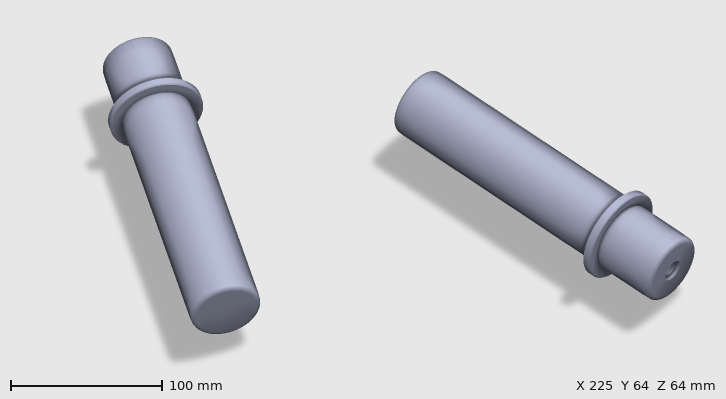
import cadquery as cq
import math

length = 225.0
body_radius = 24.0

lead_radius = 23.8
end_round = 3.2

head_lead_end = 10.0

collar_start = 45.0
collar_width = 6.0
collar_radius = 32.0
collar_chamfer = 0.7
undercut_width = 1.4
undercut_depth = 0.5
undercut_slope = 0.7
undercut_face_depth = 0.2
undercut_face_radius = 24.8
relief_straight = 1.8
relief_taper = 6.8
relief_radius = 23.8

tip_lead_length = 7.0

hole_radius = 5.2
counterbore_radius = 7.0
counterbore_depth = 2.5
mouth_chamfer = 0.5
hole_depth = 20.2
drill_point_angle = 120.0

undercut_radius = body_radius - undercut_depth
collar_end = collar_start + collar_width
face_radius = lead_radius - end_round
round_inset = end_round * (1 - math.sqrt(0.5))
relief_end = collar_end + relief_straight


def make_pin():
    """Revolve the half profile (X, radius) about the pin axis."""
    round_middle_radius = lead_radius - round_inset
    profile = (
        cq.Workplane("XY")
        .lineTo(0, face_radius)
        .threePointArc((round_inset, round_middle_radius), (end_round, lead_radius))
        .lineTo(head_lead_end, body_radius)
        .lineTo(collar_start - undercut_width, body_radius)
        .lineTo(collar_start - undercut_width + undercut_slope, undercut_radius)
        .lineTo(collar_start + undercut_face_depth, undercut_radius)
        .lineTo(collar_start, undercut_face_radius)
        .lineTo(collar_start, collar_radius - collar_chamfer)
        .lineTo(collar_start + collar_chamfer, collar_radius)
        .lineTo(collar_end - collar_chamfer, collar_radius)
        .lineTo(collar_end, collar_radius - collar_chamfer)
        .lineTo(collar_end, relief_radius)
        .lineTo(relief_end, relief_radius)
        .lineTo(relief_end + relief_taper, body_radius)
        .lineTo(length - tip_lead_length, body_radius)
        .lineTo(length - end_round, lead_radius)
        .threePointArc((length - round_inset, round_middle_radius), (length, face_radius))
        .lineTo(length, 0)
        .close()
    )
    return profile.revolve(360, (0, 0, 0), (1, 0, 0))


def make_center_hole():
    """Counterbored blind hole ending in a drill point."""
    point_depth = hole_radius / math.tan(math.radians(drill_point_angle / 2))
    profile = (
        cq.Workplane("XY")
        .lineTo(0, counterbore_radius + mouth_chamfer)
        .lineTo(mouth_chamfer, counterbore_radius)
        .lineTo(counterbore_depth, counterbore_radius)
        .lineTo(counterbore_depth, hole_radius)
        .lineTo(hole_depth, hole_radius)
        .lineTo(hole_depth + point_depth, 0)
        .close()
    )
    return profile.revolve(360, (0, 0, 0), (1, 0, 0))


result = make_pin().cut(make_center_hole())